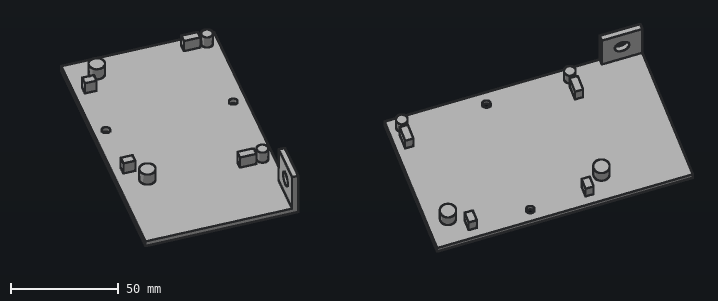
import cadquery as cq

plate_length = 125.5
plate_width = 74.5
plate_thickness = 3.0
total_height = 23.0

tab_side = total_height - plate_thickness
tab_thickness = 3.0
tab_hole_diameter = 7.0

mount_hole_diameter = 4.0
mount_hole_x = 47.8
mount_hole_centres = [(mount_hole_x, 6.1), (mount_hole_x, 68.3)]

support_height = 6.4

back_peg_diameter = 5.5
back_peg_y = 69.0
back_peg_centres = [(6.5, back_peg_y), (89.0, back_peg_y)]

front_peg_diameter = 7.7
front_peg_y = 14.0
front_peg_centres = [(10.2, front_peg_y), (85.5, front_peg_y)]

block_width = 4.0
back_block_depth = 8.0
back_block_y = 61.2
back_block_centres = [(6.1, back_block_y), (89.5, back_block_y)]

front_block_depth = 5.8
front_block_y = 7.5
front_block_centres = [(19.1, front_block_y), (76.4, front_block_y)]


def make_plate():
    """Flat plate with two mounting holes."""
    plate = cq.Workplane("XY").box(plate_length, plate_width, plate_thickness, centered=False)
    top_face = plate.faces(">Z").workplane(origin=(0, 0, 0))
    return top_face.pushPoints(mount_hole_centres).hole(mount_hole_diameter)


def make_tab():
    """Square upright tab, flush with the back and right edges, with a central hole."""
    tab = cq.Workplane("XY").box(tab_side, tab_thickness, tab_side, centered=False)
    tab = tab.faces("<Y").workplane(centerOption="CenterOfMass").hole(tab_hole_diameter)
    return tab.translate((plate_length - tab_side, plate_width - tab_thickness, plate_thickness))


def make_pegs(centres, diameter):
    """Round pegs, rooted at the underside of the plate."""
    pegs = cq.Workplane("XY").pushPoints(centres).circle(diameter / 2)
    return pegs.extrude(plate_thickness + support_height)


def make_blocks(centres, depth):
    """Rectangular blocks, rooted at the underside of the plate."""
    blocks = cq.Workplane("XY").pushPoints(centres).rect(block_width, depth)
    return blocks.extrude(plate_thickness + support_height)


result = (
    make_plate()
    .union(make_tab())
    .union(make_pegs(back_peg_centres, back_peg_diameter))
    .union(make_pegs(front_peg_centres, front_peg_diameter))
    .union(make_blocks(back_block_centres, back_block_depth))
    .union(make_blocks(front_block_centres, front_block_depth))
)